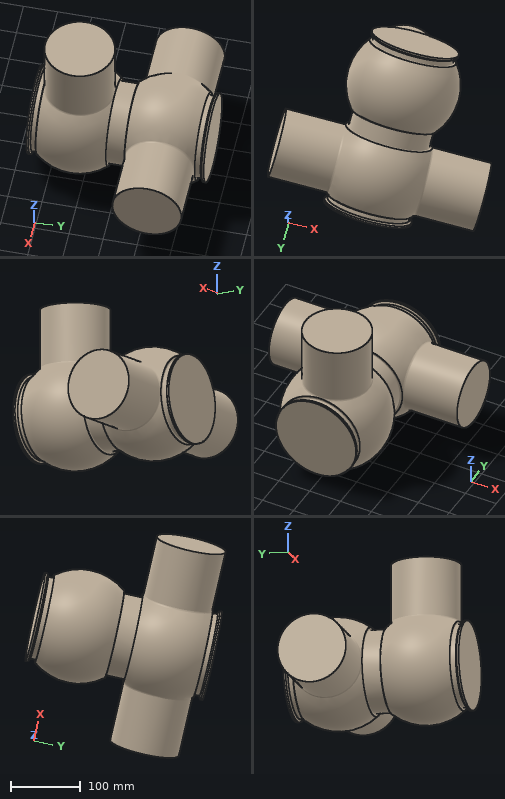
import cadquery as cq
import math

ball_radius = 82.55
ball_spacing = 130.175
flat_offset = 51.6
neck_radius = 60.325
flange_offset = 65.0875
flange_radius = 65.0875
rim_thickness = 3.175
bevel_length = 2.4
bevel_root_radius = 61.4
pipe_radius = 50.8
pipe_reach = 152.78
pipe_fillet = 3.175
neck_fillet = 1.0

front_center_y = -ball_spacing / 2
rear_center_y = ball_spacing / 2

rim_back = flange_offset - rim_thickness
bevel_back = rim_back - bevel_length


def make_ball(pipe_directions):
    """Ball at the origin with pipes blended onto it and flats across Y."""
    ball = cq.Workplane("XZ").sphere(ball_radius)
    for direction in pipe_directions:
        pipe = cq.Solid.makeCylinder(pipe_radius, pipe_reach, cq.Vector(), cq.Vector(*direction))
        ball = ball.union(cq.Workplane(pipe))

    seam_distance = math.sqrt(ball_radius**2 - pipe_radius**2)
    for direction in pipe_directions:
        seam_center = cq.Vector(*direction) * seam_distance
        ball = ball.edges(cq.NearestToPointSelector(seam_center.toTuple())).fillet(pipe_fillet)

    slab_width = 2 * pipe_reach
    slab = cq.Workplane("XY").box(slab_width, 2 * flat_offset, slab_width)
    return ball.intersect(slab)


def make_flange():
    """Neck and beveled flange on the +Y side of a ball centred at the origin."""
    return (
        cq.Workplane("XY")
        .lineTo(neck_radius, 0)
        .lineTo(neck_radius, bevel_back)
        .lineTo(bevel_root_radius, bevel_back)
        .lineTo(flange_radius, rim_back)
        .lineTo(flange_radius, flange_offset)
        .lineTo(0, flange_offset)
        .close()
        .revolve(360, (0, 0, 0), (0, 1, 0))
    )


def make_connecting_neck():
    """Cylinder joining the two ball centres along Y."""
    start = cq.Vector(0, front_center_y, 0)
    return cq.Workplane(cq.Solid.makeCylinder(neck_radius, ball_spacing, start, cq.Vector(0, 1, 0)))


front_ball = make_ball([(0, 0, 1)]).translate((0, front_center_y, 0))
rear_ball = make_ball([(-1, 0, 0), (1, 0, 0)]).translate((0, rear_center_y, 0))
rear_flange = make_flange().translate((0, rear_center_y, 0))
front_flange = rear_flange.mirror("XZ")

result = make_connecting_neck()
for piece in (front_ball, rear_ball, front_flange, rear_flange):
    result = result.union(piece)

neck_ends = result.faces("%CYLINDER").edges("%CIRCLE").edges(cq.selectors.RadiusNthSelector(1))
result = neck_ends.fillet(neck_fillet)